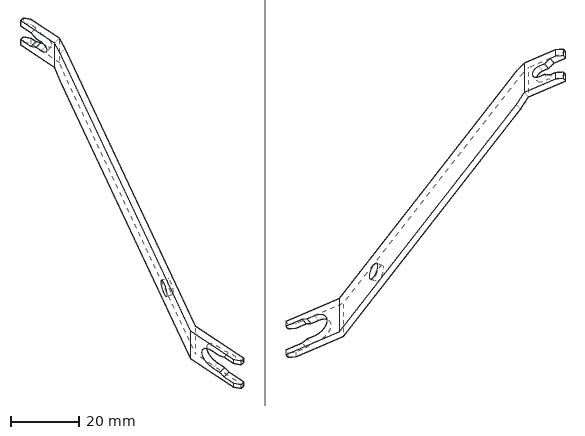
import cadquery as cq
import math

length = 128.3
depth = 58.1
width = 14.0
thickness = 2.3
left_bend_x = 12.8
right_bend_x = 110.0
hole_diameter = 5.0
hole_x = 91.5

bevel_length = 2.0
bevel_depth = 1.0

narrow_width = 12.3
taper_length = 4.1
narrow_mouth = 6.8
narrow_throat = 4.4
narrow_straight = 4.0
narrow_funnel = 1.9
narrow_reach = 10.0

wide_mouth = 9.9
wide_throat = 8.3
wide_straight = 5.6
wide_funnel = 1.7
wide_reach = 14.1

slope_drop = depth - thickness
slope_run = right_bend_x - left_bend_x
slope_angle = math.atan2(slope_drop, slope_run)
cut_depth = 2 * depth
hole_y = thickness / 2 + (right_bend_x - hole_x) * math.tan(slope_angle)


def make_strip():
    """Bent strip with bevelled tips, drawn in XY and extruded about the mid plane."""
    outline = [
        (0, slope_drop),
        (left_bend_x, slope_drop),
        (right_bend_x, 0),
        (length - bevel_length, 0),
        (length, bevel_depth),
        (length, thickness),
        (right_bend_x, thickness),
        (left_bend_x, depth),
        (bevel_length, depth),
        (0, depth - bevel_depth),
    ]
    return cq.Workplane("XY").polyline(outline).close().extrude(width / 2, both=True)


def make_side_relief(side):
    """Material removed from one long edge (side is +1 or -1) to narrow the -X fork."""
    outline = [
        (0, side * narrow_width / 2),
        (left_bend_x, side * narrow_width / 2),
        (left_bend_x + taper_length, side * width / 2),
        (0, side * width / 2),
    ]
    return cq.Workplane("XZ").polyline(outline).close().extrude(cut_depth, both=True)


def make_slot(tip_x, direction, mouth, throat, straight, funnel, reach):
    """Round-ended fork slot, running from the tip inward along direction (+1 or -1)."""
    radius = throat / 2
    funnel_start = tip_x + direction * straight
    funnel_end = funnel_start + direction * funnel
    slot_end = tip_x + direction * reach
    arc_centre = slot_end - direction * radius
    return (
        cq.Workplane("XZ")
        .moveTo(tip_x, -mouth / 2)
        .lineTo(funnel_start, -mouth / 2)
        .lineTo(funnel_end, -radius)
        .lineTo(arc_centre, -radius)
        .threePointArc((slot_end, 0), (arc_centre, radius))
        .lineTo(funnel_end, radius)
        .lineTo(funnel_start, mouth / 2)
        .lineTo(tip_x, mouth / 2)
        .close()
        .extrude(cut_depth, both=True)
    )


def make_hole():
    """Round hole square to the faces of the sloping strip."""
    hole_plane = cq.Plane(
        origin=(hole_x, hole_y, 0),
        xDir=(0, 0, 1),
        normal=(math.sin(slope_angle), math.cos(slope_angle), 0),
    )
    return cq.Workplane(hole_plane).circle(hole_diameter / 2).extrude(2 * thickness, both=True)


def make_fork_lever():
    lever = make_strip()
    for side in (1, -1):
        lever = lever.cut(make_side_relief(side))
    lever = lever.cut(
        make_slot(0, 1, narrow_mouth, narrow_throat, narrow_straight, narrow_funnel, narrow_reach)
    )
    lever = lever.cut(
        make_slot(length, -1, wide_mouth, wide_throat, wide_straight, wide_funnel, wide_reach)
    )
    return lever.cut(make_hole())


fork_lever = make_fork_lever()

result = cq.Compound.makeCompound([fork_lever.val()])